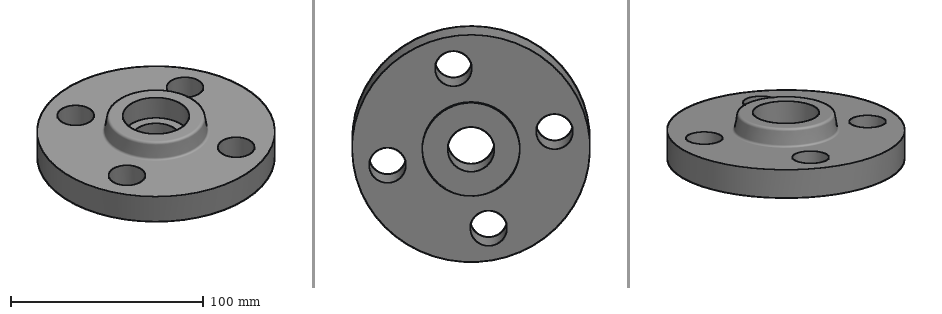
import cadquery as cq
import math

flange_diameter = 123.9
flange_thickness = 15.7
raised_face_diameter = 50.8
raised_face_height = 1.6
overall_height = 27.0

hub_base_diameter = 53.9
hub_taper_angle = 10.0
hub_root_radius = 1.4
hub_rim_radius = 1.6

bore_diameter = 24.3
socket_diameter = 34.6
socket_depth = 12.6

bolt_hole_count = 4
bolt_hole_diameter = 19.1
bolt_circle_diameter = 88.9

flange_top = raised_face_height + flange_thickness
hub_height = overall_height - flange_top
hub_top_diameter = hub_base_diameter - 2 * hub_height * math.tan(math.radians(hub_taper_angle))


def make_body():
    """Revolve the raised face, disc and tapered hub as one solid of revolution."""
    profile = [
        (0, 0),
        (raised_face_diameter / 2, 0),
        (raised_face_diameter / 2, raised_face_height),
        (flange_diameter / 2, raised_face_height),
        (flange_diameter / 2, flange_top),
        (hub_base_diameter / 2, flange_top),
        (hub_top_diameter / 2, overall_height),
        (0, overall_height),
    ]
    return cq.Workplane("XZ").polyline(profile).close().revolve(360, (0, 0, 0), (0, 1, 0))


def round_hub(body):
    """Round the hub's root into the disc and its outer top rim."""
    body = body.faces(">Z").edges().fillet(hub_rim_radius)
    disc_top = body.faces("+Z").faces("<Z")
    smallest_circle = cq.selectors.RadiusNthSelector(0)
    return disc_top.edges(smallest_circle).fillet(hub_root_radius)


def cut_stepped_bore(body):
    """Cut the through bore and the wider socket from the hub's end."""
    top = body.faces(">Z").workplane(origin=(0, 0, overall_height))
    return top.cboreHole(bore_diameter, socket_diameter, socket_depth)


def cut_bolt_holes(body):
    """Cut the bolt holes through the disc, the first one on the +X axis."""
    cutters = (
        cq.Workplane("XY")
        .polarArray(bolt_circle_diameter / 2, 0, 360, bolt_hole_count)
        .circle(bolt_hole_diameter / 2)
        .extrude(overall_height)
    )
    return body.cut(cutters)


result = cut_bolt_holes(cut_stepped_bore(round_hub(make_body())))